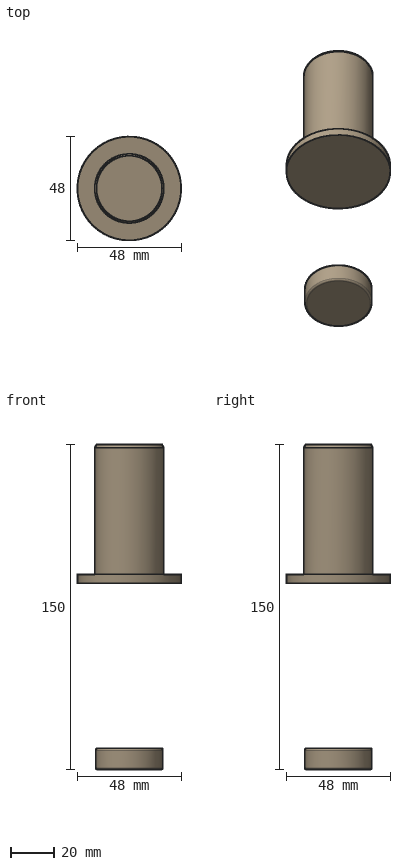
import cadquery as cq

overall_height = 150.0

flange_diameter = 48.0
flange_thickness = 4.0
shank_diameter = 32.0
pin_height = 64.0
shank_chamfer_width = 0.87
shank_chamfer_height = 1.5

disc_diameter = 31.0
disc_thickness = 9.9
disc_rim_radius = 0.9


def make_flanged_pin():
    """Round shank with a chamfered top, standing on a thin flange."""
    flange_bottom = overall_height - pin_height
    flange_top = flange_bottom + flange_thickness
    flange_radius = flange_diameter / 2
    shank_radius = shank_diameter / 2
    half_profile = [
        (0, flange_bottom),
        (flange_radius, flange_bottom),
        (flange_radius, flange_top),
        (shank_radius, flange_top),
        (shank_radius, overall_height - shank_chamfer_height),
        (shank_radius - shank_chamfer_width, overall_height),
        (0, overall_height),
    ]
    return cq.Workplane("XZ").polyline(half_profile).close().revolve(360, (0, 0), (0, 1))


def make_disc():
    """Solid disc with both rims rounded."""
    blank = cq.Workplane("XY").circle(disc_diameter / 2).extrude(disc_thickness)
    return blank.faces("<Z or >Z").edges().fillet(disc_rim_radius)


flanged_pin = make_flanged_pin()
disc = make_disc()

result = cq.Compound.makeCompound([flanged_pin.val(), disc.val()])